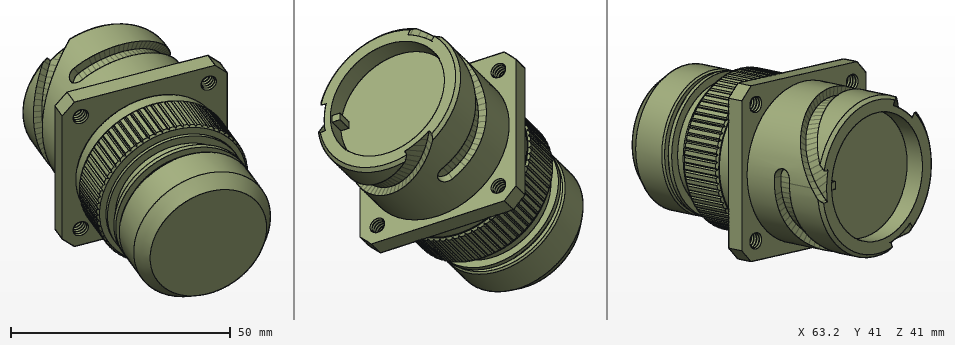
import cadquery as cq
import math

axis_start = (0, 0, 0)
axis_end = (1, 0, 0)

length = 63.15
shell_radius = 18.75
shell_chamfer = 0.8
bore_radius = 14.95
bore_depth = 4.8

flange_start = 22.9
flange_end = 27.1
flange_side = 41.0
flange_corner_cut = 3.0
hole_pitch = 31.75
hole_radius = 1.65
thread_root_radius = 1.9
thread_count = 5

seat_radius = 15.9
seat_end = 27.6
seat_cone_end = 28.15
neck_radius = 15.0
collar_start = 28.6
collar_radius = 18.0
collar_chamfer = 0.45

knurl_start = 32.35
knurl_end = 43.1
knurl_chamfer = 0.5
knurl_groove_count = 69
knurl_groove_width = 0.7
knurl_groove_depth = 0.3
knurl_first_angle = 4.0

ring_radius = 17.0
front_ring_start = 43.9
front_ring_end = 44.7
rear_ring_start = 48.3
rear_ring_end = 49.4
nut_neck_radius = 15.3
nut_groove_start = 49.75
nut_groove_end = 50.65
nut_groove_radius = 15.15
nut_start = 50.95
nut_chamfer = 0.45
taper_start = 59.6
nut_end_radius = 14.45

slot_count = 3
slot_width = 4.75
slot_floor_radius = 16.6
slot_end_x = 12.0
slot_end_angle = 242.0
slot_straight_sweep = 13.0
slot_arc_radius = 58.1
slot_arc_sweep = 122.0
slot_sections = 32
cutter_clearance = 1.25
cutter_radius = shell_radius + cutter_clearance

key_start = 0.75
key_inner_y = 12.9
key_width = 1.8
key_root_overlap = 0.6


def revolved_body():
    profile = [
        (0, 0),
        (0, shell_radius - shell_chamfer),
        (shell_chamfer, shell_radius),
        (flange_end, shell_radius),
        (flange_end, seat_radius),
        (seat_end, seat_radius),
        (seat_cone_end, neck_radius),
        (collar_start, neck_radius),
        (collar_start, collar_radius - collar_chamfer),
        (collar_start + collar_chamfer, collar_radius),
        (knurl_start, collar_radius),
        (knurl_start, shell_radius - knurl_chamfer),
        (knurl_start + knurl_chamfer, shell_radius),
        (knurl_end - knurl_chamfer, shell_radius),
        (knurl_end, shell_radius - knurl_chamfer),
        (knurl_end, seat_radius),
        (front_ring_start, seat_radius),
        (front_ring_start, ring_radius),
        (front_ring_end, ring_radius),
        (front_ring_end, neck_radius),
        (rear_ring_start, neck_radius),
        (rear_ring_start, ring_radius),
        (rear_ring_end, ring_radius),
        (rear_ring_end, nut_neck_radius),
        (nut_groove_start, nut_neck_radius),
        (nut_groove_start, nut_groove_radius),
        (nut_groove_end, nut_groove_radius),
        (nut_groove_end, nut_neck_radius),
        (nut_start, nut_neck_radius),
        (nut_start, ring_radius - nut_chamfer),
        (nut_start + nut_chamfer, ring_radius),
        (taper_start, ring_radius),
        (length, nut_end_radius),
        (length, 0),
    ]
    return cq.Workplane("XY").polyline(profile).close().revolve(360, axis_start, axis_end)


def threaded_hole():
    """Cutter for one flange hole, its thread modelled as equal V-shaped rings."""
    pitch = (flange_end - flange_start) / thread_count
    profile = [(flange_start, 0)]
    for turn in range(thread_count):
        start = flange_start + turn * pitch
        profile.append((start, thread_root_radius))
        profile.append((start + pitch / 2, hole_radius))
    profile.append((flange_end, thread_root_radius))
    profile.append((flange_end, 0))
    return cq.Workplane("XY").polyline(profile).close().revolve(360, axis_start, axis_end)


def flange():
    plate = (
        cq.Workplane("YZ", origin=(flange_start, 0, 0))
        .rect(flange_side, flange_side)
        .extrude(flange_end - flange_start)
        .edges("|X")
        .chamfer(flange_corner_cut)
    )
    hole = threaded_hole()
    for y_side in (-1, 1):
        for z_side in (-1, 1):
            offset = (0, y_side * hole_pitch / 2, z_side * hole_pitch / 2)
            plate = plate.cut(hole.translate(offset))
    return plate


def radial_direction(angle):
    return cq.Vector(0, math.cos(math.radians(angle)), math.sin(math.radians(angle)))


def slot_section(angle):
    """Rectangle across the slot at the given angle, square to its centre line."""
    turned = slot_end_angle - slot_straight_sweep - angle
    arc_length = max(0.0, math.radians(turned) * shell_radius)
    slope = math.asin(arc_length / slot_arc_radius)
    centre_x = slot_end_x - slot_arc_radius * (1 - math.cos(slope))
    outward = radial_direction(angle)
    middle = outward * slot_floor_radius + cq.Vector(centre_x, 0, 0)
    along_axis = cq.Vector(math.cos(slope), 0, 0)
    around_axis = cq.Vector(1, 0, 0).cross(outward) * -math.sin(slope)
    half_width = (along_axis + around_axis) * (slot_width / 2)
    depth = outward * (cutter_radius - slot_floor_radius)
    corners = [
        middle - half_width,
        middle + half_width,
        middle + half_width + depth,
        middle - half_width + depth,
    ]
    return cq.Wire.makePolygon(corners, close=True)


def bayonet_slot():
    """Cutter for one slot, flat across its floor and with a round blind end."""
    sweep = slot_straight_sweep + slot_arc_sweep
    angles = [slot_end_angle - sweep * i / slot_sections for i in range(slot_sections + 1)]
    channel = cq.Solid.makeLoft([slot_section(angle) for angle in angles], True)
    outward = radial_direction(slot_end_angle)
    round_end = cq.Solid.makeCylinder(
        slot_width / 2,
        cutter_radius - slot_floor_radius,
        outward * slot_floor_radius + cq.Vector(slot_end_x, 0, 0),
        outward,
    )
    return cq.Workplane(channel).union(cq.Workplane(round_end))


def knurl_grooves():
    groove = (
        cq.Workplane("YZ", origin=(knurl_start, 0, 0))
        .polyline([
            (shell_radius - knurl_groove_depth, 0),
            (shell_radius + knurl_groove_depth, knurl_groove_width),
            (shell_radius + knurl_groove_depth, -knurl_groove_width),
        ])
        .close()
        .extrude(knurl_end - knurl_start)
        .val()
    )
    step = 360 / knurl_groove_count
    angles = [knurl_first_angle + i * step for i in range(knurl_groove_count)]
    grooves = [groove.rotate(axis_start, axis_end, angle) for angle in angles]
    return cq.Workplane(cq.Compound.makeCompound(grooves))


def polarising_key():
    key_outer_y = bore_radius + key_root_overlap
    key_length = bore_depth - key_start
    key_height = key_outer_y - key_inner_y
    key = cq.Workplane("XY").box(key_length, key_height, key_width, centered=(False, False, True))
    return key.translate((key_start, key_inner_y, 0))


body = revolved_body().union(flange()).cut(knurl_grooves())
slot = bayonet_slot()
for i in range(slot_count):
    body = body.cut(slot.rotate(axis_start, axis_end, i * 360 / slot_count))
bore = cq.Workplane("YZ").circle(bore_radius).extrude(bore_depth)
result = body.cut(bore).union(polarising_key())